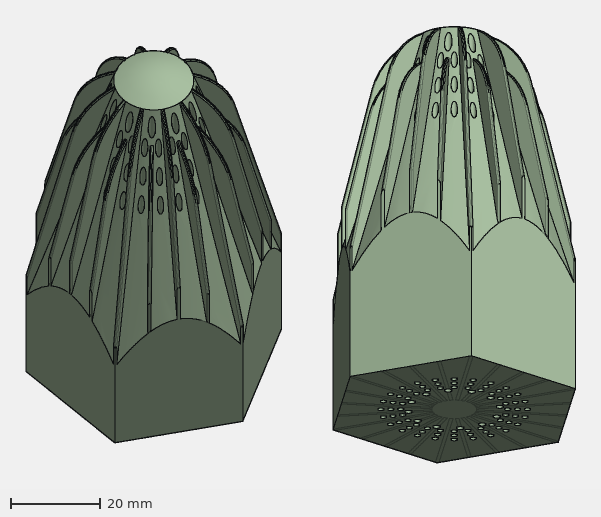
import cadquery as cq
import math

ACROSS_FLATS = 50.8
HEXAGON_SECTOR = 60
ACROSS_CORNERS = ACROSS_FLATS / math.cos(math.radians(HEXAGON_SECTOR / 2))
TOTAL_HEIGHT = 92.08

NOSE_RADIUS = 38.1 / 2
CAP_RADIUS = 8.95
NOSE_CENTER_Z = TOTAL_HEIGHT - NOSE_RADIUS

CORE_HALF_ANGLE = math.radians(17.5)
RIB_HALF_ANGLE = math.radians(13.2)

RIB_WIDTH = 0.8
CREST_FILLET = 0.25
RIBS_PER_SET = 12
RIB_PITCH = 360 / RIBS_PER_SET
SHORT_RIB_SETBACK = 8.5
SHORT_RIB_TIP_RADIUS = 11.2
RIB_ROOT_RADIUS = 5.0

HOLE_DIAMETER = 1.4
INNER_HOLE_DIAMETER = 1.65
INNER_RING_RADIUS = 10.3
SMALL_RING_RADIUS = 11.93
SMALL_RING_STEP = 2.23
SMALL_RING_COUNT = 3

OVERSIZE_RADIUS = ACROSS_CORNERS / 2 + 1


def nose_point(angle, center=(0, NOSE_CENTER_Z)):
    """Point (radius, z) on a nose arc at an elevation angle above horizontal."""
    radius = center[0] + NOSE_RADIUS * math.cos(angle)
    height = center[1] + NOSE_RADIUS * math.sin(angle)
    return radius, height


def make_hexagon():
    """Hexagonal prism with corners on the X axis, the envelope of the whole part."""
    return cq.Workplane("XY").polygon(6, ACROSS_CORNERS).extrude(TOTAL_HEIGHT)


def make_core():
    """Solid of revolution: cylinder, steep cone and spherical cap."""
    cap_angle = math.acos(CAP_RADIUS / NOSE_RADIUS)
    cap_edge = nose_point(cap_angle)
    cap_middle = nose_point((cap_angle + math.pi / 2) / 2)
    cone_foot_z = cap_edge[1] - (OVERSIZE_RADIUS - CAP_RADIUS) / math.tan(CORE_HALF_ANGLE)
    profile = (
        cq.Workplane("XZ")
        .lineTo(OVERSIZE_RADIUS, 0)
        .lineTo(OVERSIZE_RADIUS, cone_foot_z)
        .lineTo(*cap_edge)
        .threePointArc(cap_middle, (0, TOTAL_HEIGHT))
        .close()
    )
    return profile.revolve(360, (0, 0, 0), (0, 1, 0))


def make_rib(setback, tip_radius):
    """Radial plate on +X: straight tapered crest running tangent into a nose-radius arc."""
    center = (
        setback * math.sin(RIB_HALF_ANGLE),
        NOSE_CENTER_Z - setback * math.cos(RIB_HALF_ANGLE),
    )
    tip_angle = math.acos((tip_radius - center[0]) / NOSE_RADIUS)
    tip = nose_point(tip_angle, center)
    middle = nose_point((tip_angle + RIB_HALF_ANGLE) / 2, center)
    tangent = nose_point(RIB_HALF_ANGLE, center)
    crest_foot_z = tangent[1] - (OVERSIZE_RADIUS - tangent[0]) / math.tan(RIB_HALF_ANGLE)
    return (
        cq.Workplane("XZ")
        .moveTo(RIB_ROOT_RADIUS, 0)
        .lineTo(OVERSIZE_RADIUS, 0)
        .lineTo(OVERSIZE_RADIUS, crest_foot_z)
        .lineTo(*tangent)
        .threePointArc(middle, tip)
        .lineTo(RIB_ROOT_RADIUS, tip[1])
        .close()
        .extrude(RIB_WIDTH / 2, both=True)
    )


def is_on_y_flat(angle):
    """True for a rib strictly between the corners of the +Y or -Y flat of the hexagon."""
    return abs(angle % 180 - 90) < HEXAGON_SECTOR / 2


def clip_to_hexagon(rib, angle):
    """Trim a rib lying on +X with the hexagon as met by a rib standing at the given angle."""
    return rib.intersect(make_hexagon().rotate((0, 0, 0), (0, 0, 1), -angle))


def round_crest(rib, tip_radius):
    """Fillet both long edges of the crest, outward of the rib tip and above the base plane."""
    crest_zone = cq.selectors.BoxSelector(
        (tip_radius + CREST_FILLET, -RIB_WIDTH, CREST_FILLET),
        (OVERSIZE_RADIUS + CREST_FILLET, RIB_WIDTH, TOTAL_HEIGHT),
    )
    edges = rib.edges(crest_zone).filter(lambda edge: abs(edge.Center().y) > RIB_WIDTH / 4)
    return edges.fillet(CREST_FILLET)


def place_rib(rib, tip_radius, angle, trim_first):
    """Rounded rib turned about Z from +X; trimming first carries the rounding along the flat."""
    if trim_first:
        rib = clip_to_hexagon(rib, angle)
    return round_crest(rib, tip_radius).rotate((0, 0, 0), (0, 0, 1), angle).val()


def make_ribs():
    """All ribs. On the two Y flats only the long ribs, and on the four slanted flats only
    the short ribs, have their rounding carried down along the flat."""
    long_rib = make_rib(0, CAP_RADIUS)
    short_rib = make_rib(SHORT_RIB_SETBACK, SHORT_RIB_TIP_RADIUS)
    ribs = []
    for i in range(RIBS_PER_SET):
        long_angle = i * RIB_PITCH
        short_angle = long_angle + RIB_PITCH / 2
        ribs.append(place_rib(long_rib, CAP_RADIUS, long_angle, is_on_y_flat(long_angle)))
        ribs.append(
            place_rib(short_rib, SHORT_RIB_TIP_RADIUS, short_angle, not is_on_y_flat(short_angle))
        )
    return ribs


def hole_ring(diameter, ring_radius, count, first_angle):
    """Vertical cylinders spaced evenly on a circle."""
    ring = (
        cq.Workplane("XY")
        .polarArray(ring_radius, first_angle, 360, count)
        .circle(diameter / 2)
        .extrude(TOTAL_HEIGHT)
    )
    return ring.val().Solids()


def make_holes():
    """Large holes above the short ribs, small holes in every gap between ribs."""
    holes = hole_ring(INNER_HOLE_DIAMETER, INNER_RING_RADIUS, RIBS_PER_SET, RIB_PITCH / 2)
    for i in range(SMALL_RING_COUNT):
        ring_radius = SMALL_RING_RADIUS + i * SMALL_RING_STEP
        holes += hole_ring(HOLE_DIAMETER, ring_radius, 2 * RIBS_PER_SET, RIB_PITCH / 4)
    return holes


body = make_core().val().fuse(*make_ribs())
body = body.intersect(make_hexagon().val())
body = body.cut(*make_holes())
result = cq.Workplane("XY").newObject([body.Solids()[0]])